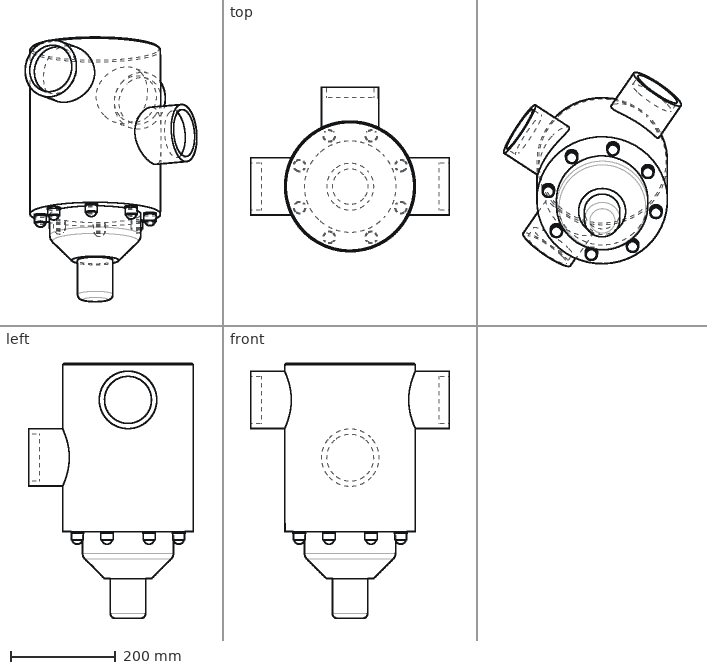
import cadquery as cq
import math

body_diameter = 250.0
body_height = 322.0
body_top_chamfer = 3.0

port_diameter = 110.0
port_bore_diameter = 90.0
port_bore_depth = 20.0
port_reach = 190.0
side_port_height = body_height - 70.0
rear_port_height = body_height - 180.0

neck_diameter = 175.0
neck_tip_diameter = 90.0
neck_depth = 90.0
neck_taper_angle = 45.0
neck_edge_radius = 16.0

spigot_diameter = 68.0
spigot_end_depth = 166.0
spigot_end_radius = 10.0

nut_count = 8
nut_circle_radius = 105.0
washer_diameter = 24.0
washer_thickness = 3.0
nut_diameter = 23.0
nut_end_depth = 15.0
nut_chamfer = 1.5
dome_end_depth = 24.0


def make_body():
    body = cq.Workplane("XY").circle(body_diameter / 2).extrude(body_height)
    return body.faces(">Z").edges().chamfer(body_top_chamfer)


def make_neck():
    neck_radius = neck_diameter / 2
    tip_radius = neck_tip_diameter / 2
    taper_height = (neck_radius - tip_radius) / math.tan(math.radians(neck_taper_angle))
    straight_depth = neck_depth - taper_height
    neck = (
        cq.Workplane("XZ")
        .lineTo(neck_radius, 0)
        .lineTo(neck_radius, -straight_depth)
        .lineTo(tip_radius, -neck_depth)
        .lineTo(0, -neck_depth)
        .close()
        .revolve(360, (0, 0), (0, 1))
    )
    return neck.edges("%CIRCLE").edges(">>Z[1]").fillet(neck_edge_radius)


def make_spigot():
    spigot = cq.Workplane("XY").circle(spigot_diameter / 2).extrude(-spigot_end_depth)
    return spigot.faces("<Z").edges().fillet(spigot_end_radius)


def make_nuts():
    washer_radius = washer_diameter / 2
    nut_radius = nut_diameter / 2
    dome_radius = nut_radius - nut_chamfer
    dome_start_depth = nut_end_depth + nut_chamfer
    dome_height = dome_end_depth - dome_start_depth
    sphere_radius = (dome_radius**2 + dome_height**2) / (2 * dome_height)
    half_angle = math.asin(dome_radius / sphere_radius) / 2
    sphere_center_depth = dome_end_depth - sphere_radius
    dome_middle = (
        sphere_radius * math.sin(half_angle),
        -sphere_center_depth - sphere_radius * math.cos(half_angle),
    )
    nut = (
        cq.Workplane("XZ")
        .lineTo(washer_radius, 0)
        .lineTo(washer_radius, -washer_thickness)
        .lineTo(nut_radius, -washer_thickness)
        .lineTo(nut_radius, -nut_end_depth)
        .lineTo(dome_radius, -dome_start_depth)
        .threePointArc(dome_middle, (0, -dome_end_depth))
        .close()
        .revolve(360, (0, 0), (0, 1))
        .val()
    )
    half_spacing = 360 / nut_count / 2
    positions = cq.Workplane("XY").polarArray(nut_circle_radius, half_spacing, 360, nut_count)
    return positions.eachpoint(lambda location: nut.moved(location), combine=False)


def port_cylinder(diameter, start, length, direction, height):
    """Cylinder along a horizontal direction, starting at a distance from the body axis."""
    base = direction * start + cq.Vector(0, 0, height)
    return cq.Workplane(cq.Solid.makeCylinder(diameter / 2, length, base, direction))


def add_port(solid, direction, height):
    bore_floor = port_reach - port_bore_depth
    port = port_cylinder(port_diameter, 0, port_reach, direction, height)
    bore = port_cylinder(port_bore_diameter, bore_floor, port_bore_depth, direction, height)
    return solid.union(port).cut(bore)


left = cq.Vector(-1, 0, 0)
right = cq.Vector(1, 0, 0)
rear = cq.Vector(0, 1, 0)

result = make_body().union(make_neck()).union(make_spigot()).union(make_nuts())
result = add_port(result, left, side_port_height)
result = add_port(result, right, side_port_height)
result = add_port(result, rear, rear_port_height)